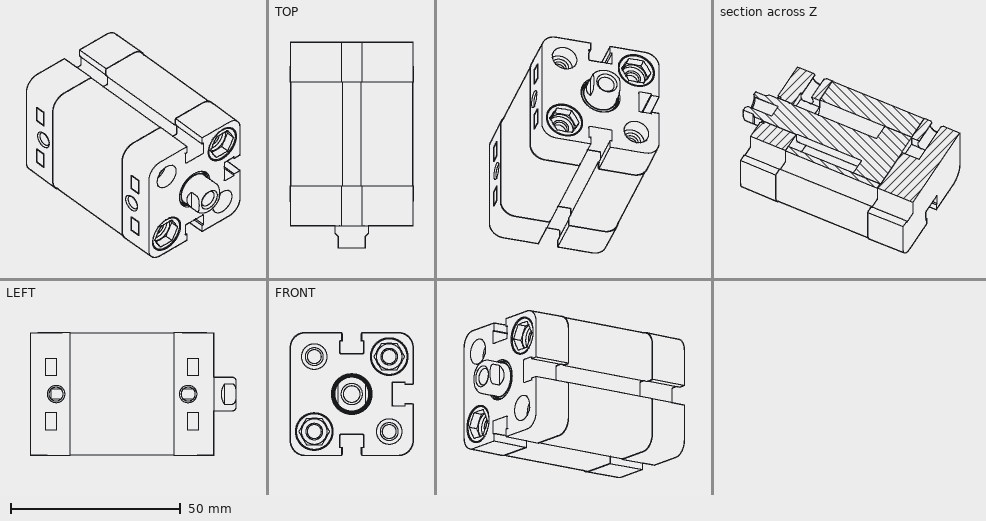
import cadquery as cq
import math


rod_projection = 6.55
body_length = 60.6 - rod_projection
cap_length = 11.75
barrel_length = body_length - 2 * cap_length

cap_half = 18.15
cap_draft = 0.1
barrel_half = 18.0
corner_radius = 4.5

slot_lip = 2.5
slot_floor_radius = 0.3
cap_slot_mouth = 5.95
cap_slot_width = 7.1
cap_slot_floor = 11.8
barrel_slot_mouth = 5.6
barrel_slot_width = 6.9
barrel_slot_floor = 11.95
barrel_lip_radius = 0.35
slot_angles = [0, 90, 180]

corner_offset = 11.0
screw_corners = [(1, 1), (-1, -1)]
thread_corners = [(-1, 1), (1, -1)]
thread_core = 4.1
thread_depth = 1.8
screw_seat_diameter = 11.1
screw_head_diameter = 10.9
screw_tip_diameter = 10.5
screw_head_recess = 0.2
screw_gap_depth = 1.2
hex_corner_diameter = 9.0
hex_relief_diameter = 8.0
hex_depth = 2.85
clearance_diameter = 7.5
screw_bore_depth = 4.05
screw_thread_mouth = 4.9
mount_bore_depth = 4.6
mount_thread_mouth = 5.3

port_offset = 7.6
port_depth = 8.5
port_mouth = 5.2
duct_height = 2.95
duct_floor = 3.65
label_depth = 0.2
label_length = 3.2
label_height = 5.0
label_start = 4.55
label_offset = 8.0

rod_diameter = 10.0
rod_nose_radius = 1.2
rod_flats = 8.0
rod_flat_length = 3.4
rod_bore = 4.9
rod_bore_mouth = 6.25
rod_bore_depth = 8.5
piston_diameter = 20
piston_length = 9.1
wiper_mouth = 12.0
wiper_recess = 11.4
wiper_recess_depth = 1.1
wiper_root = 10.9
wiper_tip = 10.3
wiper_height = 0.85


def along_y(start, x=0.0, z=0.0):
    """Workplane at Y = start whose extrusions run toward +Y, centred on (x, z)."""
    return cq.Workplane(cq.Plane(origin=(x, start, z), xDir=(1, 0, 0), normal=(0, 1, 0)))


def cylinder(diameter, start, length, x=0.0, z=0.0):
    return along_y(start, x, z).circle(diameter / 2).extrude(length)


def cone(diameter_start, diameter_end, start, length, x=0.0, z=0.0):
    """Cone frustum running toward +Y."""
    solid = cq.Solid.makeCone(
        diameter_start / 2, diameter_end / 2, length, cq.Vector(x, start, z), cq.Vector(0, 1, 0)
    )
    return cq.Workplane(obj=solid)


def chamfered_hole(mouth, core, start, depth, x=0.0, z=0.0):
    """Blind hole toward +Y with a 45 degree lead-in from the mouth to the core."""
    hole = cylinder(core, start, depth, x, z)
    return hole.union(cone(mouth, core, start, (mouth - core) / 2, x, z))


def slot_cutters(mouth, width, floor, start, length, lip_radius=0.0):
    """T-slots along Y, one per slotted side."""
    lip_inside = cap_half - slot_lip
    wide_part = cq.Workplane("XY").box(width, length, lip_inside - floor, centered=(True, False, False))
    wide_part = wide_part.edges("|Y and <Z").fillet(slot_floor_radius)
    cutter = wide_part.translate((0, start, floor))
    top = barrel_half if lip_radius else cap_half + slot_lip
    half_mouth = mouth / 2
    outline = cq.Workplane("XZ", origin=(0, start + length, 0)).moveTo(-half_mouth, floor)
    outline = outline.lineTo(half_mouth, floor).lineTo(half_mouth, top - lip_radius)
    if lip_radius:
        blend = lip_radius * (1 - math.sqrt(0.5))
        outline = outline.threePointArc((half_mouth + blend, top - blend), (half_mouth + lip_radius, top))
        outline = outline.lineTo(-half_mouth - lip_radius, top)
        outline = outline.threePointArc((-half_mouth - blend, top - blend), (-half_mouth, top - lip_radius))
    else:
        outline = outline.lineTo(-half_mouth, top)
    cutter = cutter.union(outline.close().extrude(length))
    return [cutter.rotate((0, 0, 0), (0, 1, 0), angle) for angle in slot_angles]


def port_cutter(duct_outer_reach):
    """Threaded air port from -X and the flat duct that leads on from it to the bore."""
    mouth_plane = cq.Workplane("YZ", origin=(-cap_half, port_offset, 0))
    hole = mouth_plane.circle(thread_core / 2).extrude(port_depth)
    lead_in = cq.Solid.makeCone(
        port_mouth / 2, thread_core / 2, (port_mouth - thread_core) / 2,
        cq.Vector(-cap_half, port_offset, 0), cq.Vector(1, 0, 0),
    )
    duct_start = port_offset - duct_outer_reach
    duct_depth = cap_half - port_depth - duct_floor
    duct = cq.Workplane("XY").box(
        duct_depth, cap_length - duct_start, duct_height, centered=(False, False, True)
    )
    duct = duct.translate((port_depth - cap_half, duct_start, 0))
    return hole.union(cq.Workplane(obj=lead_in)).union(duct)


def make_cap(duct_outer_reach):
    """Plain cap with its outer end at Y = 0, slots, air port and label recesses."""
    size = 2 * cap_half
    draft_angle = math.degrees(math.atan2(cap_draft, cap_length))
    section = cq.Workplane("XZ", origin=(0, cap_length, 0)).sketch().rect(size, size)
    section = section.vertices().fillet(corner_radius).finalize()
    cap = section.extrude(cap_length, taper=draft_angle)
    for cutter in slot_cutters(cap_slot_mouth, cap_slot_width, cap_slot_floor, 0, cap_length):
        cap = cap.cut(cutter)
    cap = cap.cut(port_cutter(duct_outer_reach))
    label = cq.Workplane("XY").box(2 * label_depth, label_length, label_height)
    label_y = label_start + label_length / 2
    side_x = -cap_half + cap_draft * (1 - label_y / cap_length)
    for side in (-1, 1):
        cap = cap.cut(label.translate((side_x, label_y, side * label_offset)))
    return cap


def screw_cutter(x, z):
    """Gap around a slightly sunk screw head, its hexagon socket and the threaded bore behind."""
    head_chamfer = (screw_head_diameter - screw_tip_diameter) / 2
    rim_start = screw_head_recess + head_chamfer
    head = cone(screw_tip_diameter, screw_head_diameter, screw_head_recess, head_chamfer, x, z)
    head = head.union(cylinder(screw_head_diameter, rim_start, screw_gap_depth - rim_start, x, z))
    gap = cylinder(screw_seat_diameter, 0, screw_gap_depth, x, z).cut(head)
    socket = along_y(0, x, z).polygon(6, hex_corner_diameter).extrude(hex_depth)
    socket = socket.union(cylinder(hex_relief_diameter, 0, hex_depth, x, z))
    bore = cylinder(clearance_diameter, 0, screw_bore_depth, x, z)
    thread = chamfered_hole(screw_thread_mouth, thread_core, screw_bore_depth, thread_depth, x, z)
    return gap.union(socket).union(bore).union(thread)


def mount_cutter(x, z):
    """Deep clearance bore with a threaded hole in its floor."""
    bore = cylinder(clearance_diameter, 0, mount_bore_depth, x, z)
    thread = chamfered_hole(mount_thread_mouth, thread_core, mount_bore_depth, thread_depth, x, z)
    return bore.union(thread)


def wiper_cutter():
    """Chamfered recess around the rod with a conical wiper lip left standing in it."""
    recess = chamfered_hole(wiper_mouth, wiper_recess, 0, wiper_recess_depth)
    lip_start = wiper_recess_depth - wiper_height
    recess = recess.cut(cone(wiper_tip, wiper_root, lip_start, wiper_height))
    return recess.union(cylinder(rod_diameter, 0, cap_length))


def make_front_cap():
    cap = make_cap(duct_outer_reach=thread_core / 2)
    for side_x, side_z in screw_corners:
        cap = cap.cut(screw_cutter(side_x * corner_offset, side_z * corner_offset))
    for side_x, side_z in thread_corners:
        cap = cap.cut(mount_cutter(side_x * corner_offset, side_z * corner_offset))
    return cap.cut(wiper_cutter())


def make_rear_cap():
    cap = make_cap(duct_outer_reach=duct_height / 2)
    return cap.mirror("XZ").translate((0, body_length, 0))


def make_barrel():
    size = 2 * barrel_half
    section = along_y(cap_length).rect(size, size).extrude(barrel_length)
    barrel = section.edges("|Y").fillet(corner_radius)
    cutters = slot_cutters(
        barrel_slot_mouth, barrel_slot_width, barrel_slot_floor, cap_length, barrel_length, barrel_lip_radius
    )
    for cutter in cutters:
        barrel = barrel.cut(cutter)
    return barrel.cut(cylinder(piston_diameter, cap_length, barrel_length))


def make_rod():
    """Piston rod with rounded nose, threaded bore, wrench flats and piston."""
    piston_start = cap_length + barrel_length - piston_length
    rod = cylinder(rod_diameter, -rod_projection, rod_projection + piston_start)
    rod = rod.faces("<Y").edges().fillet(rod_nose_radius)
    rod = rod.union(cylinder(piston_diameter, piston_start, piston_length))
    rod = rod.cut(chamfered_hole(rod_bore_mouth, rod_bore, -rod_projection, rod_bore_depth))
    half_flats = rod_flats / 2
    run_out = rod_diameter / 2 - half_flats
    flat_end = rod_flat_length - rod_projection
    flat_profile = [
        (half_flats, -rod_projection),
        (half_flats, flat_end),
        (half_flats + run_out, flat_end + run_out),
        (half_flats + run_out, -rod_projection),
    ]
    flat = cq.Workplane("XY").polyline(flat_profile).close().extrude(rod_diameter / 2, both=True)
    return rod.cut(flat).cut(flat.mirror("YZ"))


front_cap = make_front_cap()
barrel = make_barrel()
rear_cap = make_rear_cap()
rod = make_rod()

result = cq.Compound.makeCompound([front_cap.val(), barrel.val(), rear_cap.val(), rod.val()])